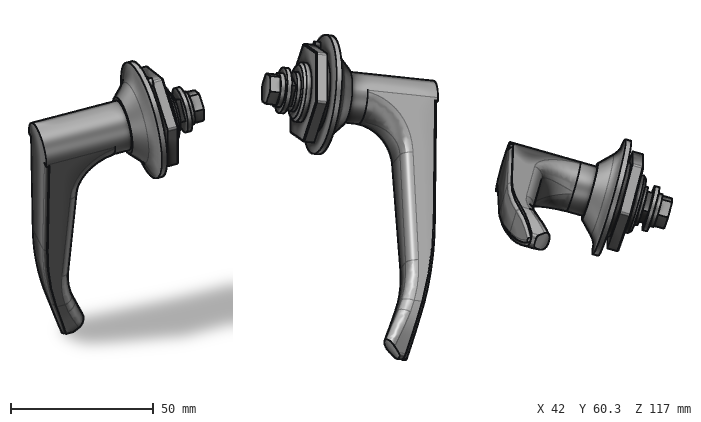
import cadquery as cq
import math


flange_radius = 21.0
flange_thickness = 2.0
rosette_front = -9.0
neck_radius = 10.25
flare_angle = math.radians(45)
sleeve_radius = 10.5
sleeve_end = 8.8
sleeve_chamfer = 1.0
pin_radius = 1.5
pin_height = 18.0

gasket_thickness = 2.0
gasket_edge_radius = 13.3
gasket_bulge_radius = 13.6
nut_across_flats = 32.0
nut_thickness = 4.0
nut_corner_radius = 1.0
nut_chamfer = 0.4

shaft_radius = 7.0
shaft_end = 10.2
square_size = 8.0
square_end = 12.45

grip_radius = 9.0
taper_end_z = -75.8
taper_end_half_width = 6.06
tip_end_z = -96.0
tip_end_half_width = 1.95
tip_floor_z = -95.6
tip_corner_radius = 1.4

handle_front = -40.7
back_start = -15.0
throat_radius = 13.0
back_lean = math.radians(3.66)
back_bend_z = -60.7
back_bend_radius = 44.0
tip_lean = math.radians(20)
heel_z = -89.6
tip_back_y = -29.3
tip_front_y = -31.8
front_bend_z = -45.9
front_bend_depth = 3.6

root_edge_radius = 8.7
back_edge_radius = 3.7
heel_edge_radius = 3.2

panel_height = 1.2
panel_inset = 1.1
panel_top = -1.2
panel_edge_radius = 1.15
panel_tip_edge_radius = 0.75

screw_end = 19.6
head_across_flats = 10.0
head_height = 3.75
head_chamfer = 0.35
spring_washer_radius = 6.0
spring_washer_thickness = 1.75
washer_radius = 8.05
thread_radius = 3.0
thread_length = 12.0

hexagon_half_angle = math.radians(30)
trim_size = 200.0


def disc(radius, start, end):
    """Round body about the Y axis, from Y = start to Y = end."""
    return cq.Workplane("XZ", origin=(0, start, 0)).circle(radius).extrude(start - end)


def hexagon(across_flats, start, end):
    """Hexagonal body about the Y axis with corners at the top and bottom."""
    across_corners = across_flats / math.cos(hexagon_half_angle)
    hexagon_bar = cq.Workplane("XZ", origin=(0, start, 0)).polygon(6, across_corners).extrude(start - end)
    return hexagon_bar.rotate((0, 0, 0), (0, 1, 0), math.degrees(hexagon_half_angle))


def make_rosette():
    """Flange with a flared neck in front, a threaded sleeve behind and a locating pin."""
    cone_height = -flange_thickness - rosette_front
    arc_radius = (flange_radius - neck_radius - cone_height) / (
        math.sin(flare_angle) - (1 - math.cos(flare_angle))
    )

    def flare_point(angle):
        radius = flange_radius - arc_radius * math.sin(angle)
        return radius, -flange_thickness - arc_radius * (1 - math.cos(angle))

    profile = (
        cq.Workplane("XY")
        .moveTo(shaft_radius, rosette_front)
        .lineTo(neck_radius, rosette_front)
        .lineTo(*flare_point(flare_angle))
        .threePointArc(flare_point(flare_angle / 2), flare_point(0))
        .lineTo(flange_radius, 0)
        .lineTo(sleeve_radius, 0)
        .lineTo(sleeve_radius, sleeve_end - sleeve_chamfer)
        .lineTo(sleeve_radius - sleeve_chamfer, sleeve_end)
        .lineTo(shaft_radius, sleeve_end)
        .close()
    )
    rosette = profile.revolve(360, (0, 0, 0), (0, 1, 0))
    pin = disc(pin_radius, -flange_thickness / 2, gasket_thickness).translate((0, 0, pin_height))
    return rosette.union(pin)


def make_gasket():
    """Ring around the sleeve with a bulging rim."""
    profile = (
        cq.Workplane("XY")
        .moveTo(sleeve_radius, 0)
        .lineTo(gasket_edge_radius, 0)
        .threePointArc(
            (gasket_bulge_radius, gasket_thickness / 2), (gasket_edge_radius, gasket_thickness)
        )
        .lineTo(sleeve_radius, gasket_thickness)
        .close()
    )
    return profile.revolve(360, (0, 0, 0), (0, 1, 0))


def make_nut():
    """Flat hexagon nut on the sleeve, clamped against the gasket."""
    front = gasket_thickness
    back = front + nut_thickness
    nut = hexagon(nut_across_flats, front, back)
    nut = nut.edges("|Y").fillet(nut_corner_radius)
    nut = nut.faces(">Y").chamfer(nut_chamfer)
    return nut.cut(disc(sleeve_radius, front, back))


def lever_width_bar(inset, top):
    """Tapered outline of the lever, narrowed on each side, as a bar running along Y."""
    taper = (grip_radius - taper_end_half_width) / -taper_end_z
    half = (
        cq.Workplane("XZ")
        .moveTo(0, top)
        .lineTo(grip_radius + taper * top - inset, top)
        .lineTo(taper_end_half_width - inset, taper_end_z)
        .tangentArcPoint((tip_end_half_width - inset, tip_end_z), relative=False)
        .lineTo(0, tip_end_z)
    )
    return half.mirrorY().extrude(-handle_front)


def lever_bend_bar(front_offset):
    """Bent side outline of the lever, with its front set back, as a bar running along X."""
    front = handle_front + front_offset
    throat_y = back_start - throat_radius * math.cos(back_lean)
    throat_z = -grip_radius - throat_radius * (1 - math.sin(back_lean))
    bend_y = throat_y + (back_bend_z - throat_z) * math.tan(back_lean)
    tip_bend_y = bend_y + back_bend_radius * (math.cos(back_lean) - math.cos(tip_lean))
    tip_bend_z = back_bend_z - back_bend_radius * (math.sin(back_lean) + math.sin(tip_lean))
    heel_y = tip_bend_y + (tip_bend_z - heel_z) * math.tan(tip_lean)
    return (
        cq.Workplane("YZ", origin=(-grip_radius, 0, 0))
        .moveTo(back_start, 0)
        .lineTo(front, 0)
        .lineTo(front, front_bend_z)
        .tangentArcPoint((front + front_bend_depth, taper_end_z), relative=False)
        .lineTo(tip_front_y + front_offset, tip_end_z)
        .lineTo(tip_back_y, tip_end_z)
        .lineTo(heel_y, heel_z)
        .lineTo(tip_bend_y, tip_bend_z)
        .tangentArcPoint((bend_y, back_bend_z), relative=False)
        .lineTo(throat_y, throat_z)
        .tangentArcPoint((back_start, -grip_radius), relative=False)
        .close()
        .extrude(2 * grip_radius)
    )


def round_chains(body, first_edge_points, start_radius, radius, end_radius):
    """Round smooth chains of edges with a radius that varies along the first and last edge.

    Each point picks the edge nearest to it, from which a chain runs on to the tip.
    """
    solid = body.val()
    rounding = cq.occ_impl.shapes.BRepFilletAPI_MakeFillet(solid.wrapped)
    for chain, point in enumerate(first_edge_points, start=1):
        first_edge = body.edges(cq.NearestToPointSelector(point)).val()
        rounding.Add(first_edge.wrapped)
        last = rounding.NbEdges(chain)
        rounding.SetRadius(start_radius, radius, chain, 1)
        for edge in range(2, last):
            rounding.SetRadius(radius, chain, edge)
        rounding.SetRadius(radius, end_radius, chain, last)
    return cq.Workplane(cq.Shape.cast(rounding.Shape()))


def make_lever_core():
    """Lever behind the front panel, with its back edges rounded."""
    outline = lever_width_bar(0, 0)
    below_tip = cq.Workplane(origin=(0, 0, tip_floor_z)).rect(trim_size, trim_size).extrude(-trim_size)
    outline = outline.cut(below_tip).faces("<Z").edges("|Y").fillet(tip_corner_radius)
    core = outline.intersect(lever_bend_bar(panel_height))
    throat_depth = throat_radius * math.sin(math.radians(45))
    throat_middle_y = back_start - throat_depth
    throat_middle_z = -grip_radius - throat_radius + throat_depth
    throat_points = [(side * grip_radius, throat_middle_y, throat_middle_z) for side in (1, -1)]
    return round_chains(core, throat_points, root_edge_radius, back_edge_radius, heel_edge_radius)


def make_lever_panel():
    """Raised front panel with rounded edges, at full width where it meets the grip."""
    strip = lever_bend_bar(0).cut(lever_bend_bar(panel_height))
    panel = lever_width_bar(panel_inset, panel_top).intersect(strip)
    top_points = [
        (side * (grip_radius - panel_inset), handle_front, front_bend_z / 2) for side in (1, -1)
    ]
    panel = round_chains(
        panel, top_points, panel_edge_radius, panel_edge_radius, panel_tip_edge_radius
    )
    head = lever_width_bar(0, 0).intersect(strip)
    head = head.intersect(cq.Workplane().box(trim_size, trim_size, -2 * panel_top))
    return panel.union(head)


def make_handle():
    """Grip and lever in one piece with the shaft and the square end of the spindle."""
    grip_stub = disc(grip_radius, back_start, rosette_front)
    upper_half = cq.Workplane().box(trim_size, trim_size, grip_radius, centered=(True, True, False))
    grip = disc(grip_radius, handle_front, rosette_front).intersect(upper_half)
    shaft = disc(shaft_radius, rosette_front, shaft_end)
    square = (
        cq.Workplane("XZ", origin=(0, shaft_end, 0))
        .transformed(rotate=(0, 0, 45))
        .rect(square_size, square_size)
        .extrude(shaft_end - square_end)
    )
    handle = grip_stub.union(grip).union(make_lever_core()).union(make_lever_panel())
    handle = handle.union(shaft).union(square)
    return handle.cut(disc(thread_radius, square_end - thread_length, square_end))


def make_screw():
    """Hexagon head screw with its captive flat washer and spring washer."""
    head_start = screw_end - head_height
    spring_start = head_start - spring_washer_thickness
    head = hexagon(head_across_flats, head_start, screw_end)
    corner_radius = head_across_flats / 2 / math.cos(hexagon_half_angle)
    chamfered_round = disc(corner_radius, head_start, screw_end).faces(">Y").chamfer(head_chamfer)
    spring_washer = disc(spring_washer_radius, spring_start, head_start)
    washer = disc(washer_radius, square_end, spring_start)
    thread = disc(thread_radius, square_end - thread_length, square_end)
    return head.intersect(chamfered_round).union(spring_washer).union(washer).union(thread)


rosette = make_rosette()
gasket = make_gasket()
nut = make_nut()
handle = make_handle()
screw = make_screw()

bodies = [handle, rosette, gasket, nut, screw]
result = cq.Compound.makeCompound([body.solids().val() for body in bodies])